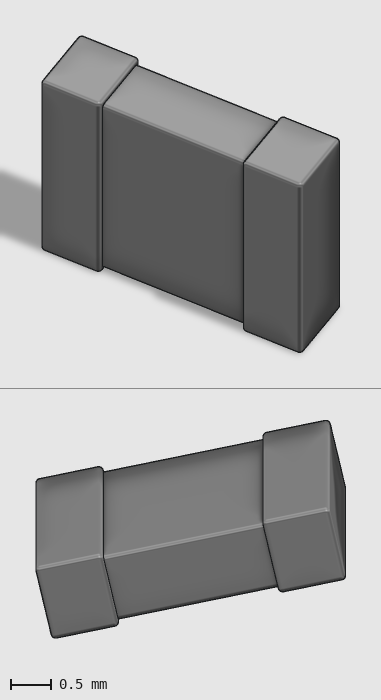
import cadquery as cq

LENGTH = 3.7
THICKNESS = 0.98
HEIGHT = 2.9
TERMINAL_LENGTH = 0.847
STEP = 0.06
EDGE_RADIUS = 0.06

core_length = LENGTH - 2 * TERMINAL_LENGTH


def make_terminal(x_center):
    """End cap, rounded along every edge."""
    block = cq.Workplane("XY").box(TERMINAL_LENGTH, THICKNESS, HEIGHT)
    return block.edges().fillet(EDGE_RADIUS).translate((x_center, 0, 0))


def make_core():
    """Middle block, rounded along its four long edges."""
    block = cq.Workplane("XY").box(core_length, THICKNESS - 2 * STEP, HEIGHT - 2 * STEP)
    return block.edges("|X").fillet(EDGE_RADIUS)


core = make_core()
terminal_offset = (LENGTH - TERMINAL_LENGTH) / 2
terminals = [make_terminal(side * terminal_offset) for side in (-1, 1)]

result = cq.Compound.makeCompound([core.val(), *[terminal.val() for terminal in terminals]])